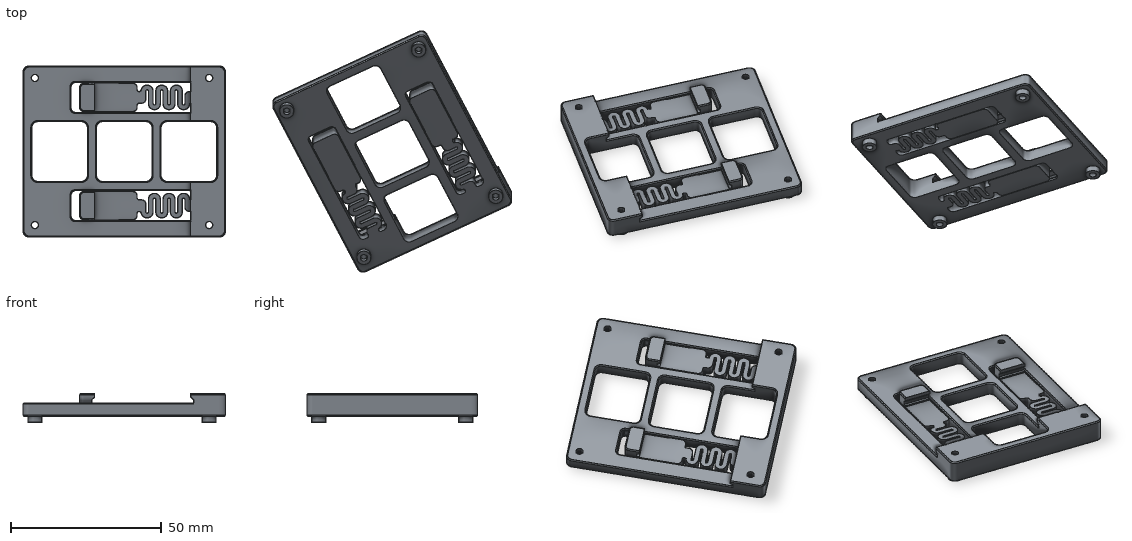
import cadquery as cq
plate_length = 67.5
plate_width = 57.0
plate_height = 4.45
plate_corner = 2.0
edge_chamfer = 0.37

riser_height = 3.1
riser_front = 23.1
hook_reach = 0.95
hook_lip = 1.15

window_length = 18.5
window_width = 19.9
window_corner = 2.0
window_pitch = 21.5
window_count = 3

slot_offset = 18.0
slot_start = -17.7
slot_end = riser_front
slot_width = 10.0
slot_corner = 1.5

clip_start = -14.9
clip_end = 4.3
clip_width = 9.45
clip_height = plate_height - 0.5
clip_corner = 1.5
nose_end = -10.8

rail_start = -11.75
rail_end = -1.8
rail_depth = 1.0
rail_flat = 1.0
rail_height = rail_flat + 2 * rail_depth
rail_middle = plate_height / 2
groove_start = -16.9
side_gap = (slot_width - clip_width) / 2
groove_end = rail_end + side_gap

strip = 1.6
strip_gap = 0.8
leg_pitch = strip + strip_gap
bend_radius = (leg_pitch + strip) / 2
leg_count = 7
bend_center = 2.1
neck_half_width = 1.95
neck_corner = 1.5
spring_middle = (clip_end + slot_end) / 2
first_leg = spring_middle - (leg_count - 1) / 2 * leg_pitch
neck_length = first_leg + strip / 2 - clip_end
neck_fillet = (neck_length - strip) / 2

foot_diameter = 4.7
foot_height = 2.0
hole_diameter = 2.3
hole_left = -29.8
hole_right = 28.3
hole_offset = 24.5
hole_places = [(x, y) for x in (hole_left, hole_right) for y in (-hole_offset, hole_offset)]

top_height = plate_height + riser_height


def box_between(x_start, x_end, width, y_middle, z_start, z_end):
    """Box given by its ends along X and Z and its width about a middle line."""
    size = (x_end - x_start, width, z_end - z_start)
    return cq.Workplane().box(*size, centered=(False, True, False)).translate((x_start, y_middle, z_start))


def hook_undercut(face_x, direction, width, y_middle):
    """Space below a hook that reaches from face_x in the given X direction."""
    tip_x = face_x + direction * hook_reach
    lip_bottom = top_height - hook_lip
    outline = [
        (tip_x, plate_height),
        (tip_x, lip_bottom),
        (face_x, lip_bottom - hook_reach),
        (face_x, plate_height),
    ]
    cutter = cq.Workplane("XZ").polyline(outline).close().extrude(width / 2, both=True)
    return cutter.translate((0, y_middle, 0))


def rounded_slab(height):
    """Plate outline raised to a height, chamfered around its bottom and top rims."""
    slab = cq.Workplane().box(plate_length, plate_width, height, centered=(True, True, False))
    slab = slab.edges("|Z").fillet(plate_corner)
    return slab.faces("<Z").chamfer(edge_chamfer).faces(">Z").chamfer(edge_chamfer)


def make_plate():
    """Rounded plate with the hooked riser along its +X edge."""
    hook_tip = riser_front - hook_reach
    riser = (
        rounded_slab(top_height)
        .intersect(box_between(hook_tip, plate_length / 2, plate_width, 0, 0, top_height))
        .cut(box_between(hook_tip, riser_front, plate_width, 0, 0, plate_height))
        .cut(hook_undercut(riser_front, -1, plate_width, 0))
    )
    return rounded_slab(plate_height).union(riser)


def opening_cutter(x_start, x_end, width, corner, top):
    """Through opening with rounded corners that flares into a chamfer at its top."""
    straight = box_between(x_start, x_end, width, 0, 0, top).edges("|Z").fillet(corner)
    flare = (
        box_between(
            x_start - edge_chamfer, x_end + edge_chamfer, width + 2 * edge_chamfer, 0,
            top - edge_chamfer, top + edge_chamfer,
        )
        .edges("|Z").fillet(corner + edge_chamfer)
        .faces("<Z").chamfer(edge_chamfer)
    )
    return straight.union(flare)


def rail_bar(x_start, x_end, base_width, y_middle):
    """Bar with a trapezoidal ridge standing out on both sides of base_width."""
    half_base = base_width / 2
    half_tip = half_base + rail_depth
    outline = [
        (-half_base, rail_middle - rail_height / 2),
        (half_base, rail_middle - rail_height / 2),
        (half_tip, rail_middle - rail_flat / 2),
        (half_tip, rail_middle + rail_flat / 2),
        (half_base, rail_middle + rail_height / 2),
        (-half_base, rail_middle + rail_height / 2),
        (-half_tip, rail_middle + rail_flat / 2),
        (-half_tip, rail_middle - rail_flat / 2),
    ]
    bar = cq.Workplane("YZ").polyline(outline).close().extrude(x_end - x_start)
    return bar.translate((x_start, y_middle, 0))


def make_clip():
    """Clip with its hooked nose and guide rails, centered on its slot line."""
    body = box_between(clip_start, clip_end, clip_width, 0, 0, clip_height).edges("|Z").fillet(clip_corner)
    nose = (
        box_between(clip_start, nose_end + hook_reach, clip_width, 0, 0, top_height)
        .edges("|Z and <X").fillet(clip_corner)
        .faces(">Z").edges("not >X").chamfer(edge_chamfer)
        .cut(hook_undercut(nose_end, 1, clip_width, 0))
    )
    return body.union(nose).union(rail_bar(rail_start, rail_end, clip_width, 0))


def make_neck():
    """Root of the spring: stub from the clip's end face that turns into the first leg."""
    half = neck_half_width
    outline = (
        cq.Workplane().moveTo(0, -half - neck_fillet)
        .radiusArc((neck_fillet, -half), neck_fillet)
        .lineTo(neck_length - neck_corner, -half)
        .radiusArc((neck_length, neck_corner - half), -neck_corner)
        .lineTo(neck_length, bend_center)
        .lineTo(neck_length - strip, bend_center)
        .lineTo(neck_length - strip, half + neck_fillet)
        .radiusArc((neck_fillet, half), neck_fillet)
        .radiusArc((0, half + neck_fillet), neck_fillet)
        .close()
    )
    return outline.extrude(clip_height).translate((clip_end, 0, 0))


def make_spring():
    """Serpentine strip: two necks, straight legs and alternating half-ring bends."""
    neck = make_neck()
    spring = neck.union(neck.rotate((spring_middle, 0, 0), (spring_middle, 0, 1), 180))
    for leg in range(1, leg_count - 1):
        x = first_leg + leg * leg_pitch
        spring = spring.union(
            box_between(x - strip / 2, x + strip / 2, 2 * bend_center, 0, 0, clip_height)
        )
    for bend in range(leg_count - 1):
        side = 1 if bend % 2 == 0 else -1
        x = first_leg + (bend + 0.5) * leg_pitch
        bend_half = box_between(
            -bend_radius, bend_radius, bend_radius, side * bend_radius / 2, 0, clip_height
        )
        ring = cq.Workplane().circle(bend_radius).circle(strip_gap / 2).extrude(clip_height)
        spring = spring.union(ring.intersect(bend_half).translate((x, side * bend_center, 0)))
    return spring


def low_region():
    """Space of the plate in front of the riser, which bounds the chamfers of its openings."""
    return box_between(-plate_length / 2, riser_front, plate_width, 0, 0, plate_height)


def cut_windows(plate):
    """Cut the row of windows; the last one also passes through the riser."""
    for index in range(window_count):
        middle = (index - (window_count - 1) / 2) * window_pitch
        span = (middle - window_length / 2, middle + window_length / 2, window_width, window_corner)
        low_window = opening_cutter(*span, plate_height)
        plate = plate.cut(
            low_window.intersect(low_region())
        )
        if span[1] > riser_front:
            plate = plate.cut(opening_cutter(*span, top_height))
    return plate


def make_frame():
    """Plate with windows, slots and holes, carrying both spring clips in one piece."""
    frame = cut_windows(make_plate())
    slot_cutter = opening_cutter(slot_start, slot_end, slot_width, slot_corner, plate_height)
    slot_cutter = slot_cutter.intersect(low_region())
    slot_clip = make_clip().union(make_spring())
    for side in (-1, 1):
        y = side * slot_offset
        slot = slot_cutter.translate((0, y, 0))
        frame = frame.cut(slot).cut(rail_bar(groove_start, groove_end, slot_width, y))
    frame = frame.cut(
        cq.Workplane().pushPoints(hole_places).circle(hole_diameter / 2).extrude(top_height)
    )
    upper_clip = slot_clip.translate((0, slot_offset, 0))
    return frame.union(upper_clip).union(upper_clip.mirror("XZ"))


def make_foot(x, y):
    """Round foot with a through hole, seated against the underside of the plate."""
    foot = cq.Workplane().circle(foot_diameter / 2).circle(hole_diameter / 2).extrude(-foot_height)
    return foot.translate((x, y, 0))


frame = make_frame()
feet = [make_foot(x, y) for x, y in hole_places]
result = cq.Compound.makeCompound([frame.val(), *[foot.val() for foot in feet]])